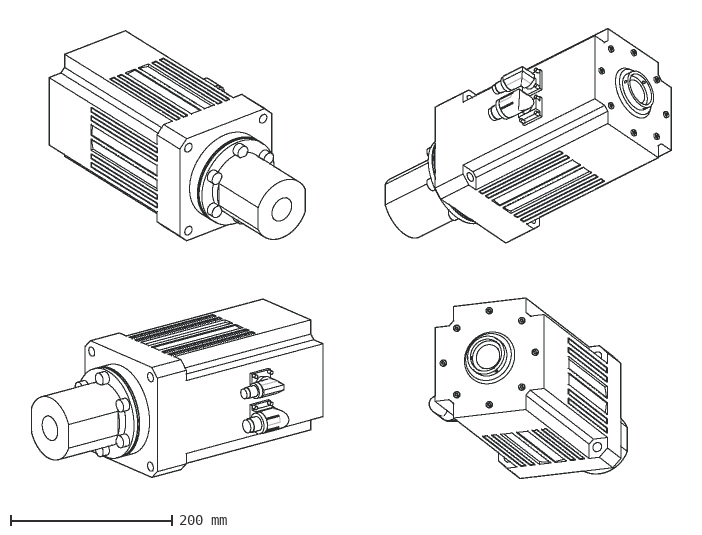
import cadquery as cq
import math

MOUNT_ANGLE = 18.0

SIDE = 145.0
HALF = SIDE / 2
BODY_LENGTH = 261.5
FLANGE_REAR = 215.5
NOTCH = 24.5
NOTCH_FILL = 6.0
FLANGE_CHAMFER = 11.0
FLANGE_HOLE_RADIUS = 6.0
FLANGE_HOLE_INSET = 13.5

SLOTTED_SIDE_ANGLES = (0, 90, 180)
SLOT_START = 83.5
SLOT_GAP = 6.0
NARROW_SLOT = 6.2
NARROW_SLOT_PAIR = 2
WIDE_SLOT = 15.0
NARROW_SLOT_DEPTH = 1.0
WIDE_SLOT_FLOOR_RADIUS = 71.2
WIDE_SLOT_MAX_DEPTH = 7.8

PILOT_RADIUS = 57.2
PILOT_END = 286.0
PILOT_GROOVE_START = 277.0
PILOT_GROOVE_WIDTH = 2.7
PILOT_GROOVE_DEPTH = 0.8
NOSE_RADIUS = 40.5
NOSE_FLAT_DISTANCE = 37.5
NOSE_END = 373.5
NOSE_BOLT_COUNT = 6
NOSE_BOLT_CIRCLE = 47.0
NOSE_BOLT_START_ANGLE = 30
NOSE_BOLT_RADIUS = 7.8
NOSE_BOLT_HEIGHT = 9.7
NECK_END = PILOT_END + NOSE_BOLT_HEIGHT

BOSS_BASE_RADIUS = 33.5
BOSS_TOP_RADIUS = 30.5
BOSS_HEIGHT = 4.0
COLLAR_RADIUS = 24.5
COLLAR_HEIGHT = 12.5
COLLAR_BORE_RADIUS = 20.5
COLLAR_BORE_DEPTH = 7.0
BORE_RADIUS = 15.5
SET_SCREW_COUNT = 3
SET_SCREW_RADIUS = 1.75
SET_SCREW_START_ANGLE = 30
SET_SCREW_FROM_END = 4.0
COVER_SCREW_COUNT = 8
COVER_SCREW_CIRCLE = 61.0
COVER_SCREW_RADIUS = 4.0
COVER_SCREW_HEIGHT = 2.5
SOCKET_WIDTH = 3.5
SOCKET_DEPTH = 1.5

CONNECTOR_X = 101.0
CONNECTOR_Z = 20.5
FOOT_SIZE = 28.8
FOOT_HEIGHT = 4.0
FOOT_SCREW_OFFSET = 12.0
FOOT_SCREW_RADIUS = 2.15
FOOT_SCREW_HEIGHT = 6.0
STEM_WIDTH = 16.5
ELBOW_BASE = 11.5
BARREL_END = 120.5
CAP_END = 126.0
CAP_STEP = 0.5
GLAND_TIP_START = 137.8
GLAND_END = 143.0
GLAND_TIP_STEP = 0.8
GRIP_ANGLE = 36
GRIP_WIDTH = 1.5
GRIP_DEPTH = 1.0

SIGNAL_RADIUS = 10.0
SIGNAL_AXIS_HEIGHT = 22.5
SIGNAL_GLAND_RADIUS = 7.0
SIGNAL_RIDGE_WIDTH = 6.5
SIGNAL_RIDGE_DISTANCE = 12.0
POWER_RADIUS = 13.5
POWER_AXIS_HEIGHT = 28.5
POWER_GLAND_RADIUS = 9.0

EMBED = 0.8


def disc(x_start, x_end, radius, y=0, z=0):
    """Cylinder along X between two stations."""
    return cq.Workplane("YZ", origin=(x_start, y, z)).circle(radius).extrude(x_end - x_start)


def ring_points(count, radius, start_angle=0):
    """Evenly spaced (y, z) points on a circle about the axis."""
    angles = [math.radians(start_angle + 360 * i / count) for i in range(count)]
    return [(radius * math.cos(a), radius * math.sin(a)) for a in angles]


def housing():
    """Square bar with notched edges behind a chamfered flange with four through holes."""
    bar = cq.Workplane("YZ").rect(SIDE, SIDE).extrude(BODY_LENGTH)
    body = bar.edges("|X").chamfer(FLANGE_CHAMFER)
    inner = HALF - NOTCH
    notch = (
        cq.Workplane("YZ")
        .moveTo(inner, HALF)
        .lineTo(inner, inner + NOTCH_FILL)
        .lineTo(inner + NOTCH_FILL, inner)
        .lineTo(HALF, inner)
        .lineTo(HALF, HALF)
        .close()
        .extrude(FLANGE_REAR)
    )
    for quarter in range(4):
        body = body.cut(notch.rotate((0, 0, 0), (1, 0, 0), 90 * quarter))
    hole_offset = HALF - FLANGE_HOLE_INSET
    holes = (
        cq.Workplane("YZ", origin=(FLANGE_REAR, 0, 0))
        .rect(2 * hole_offset, 2 * hole_offset, forConstruction=True)
        .vertices()
        .circle(FLANGE_HOLE_RADIUS)
        .extrude(BODY_LENGTH - FLANGE_REAR)
    )
    return body.cut(holes)


def slot_box(y_start, width, depth):
    """Slot block at the top side, starting at y_start."""
    corner = (SLOT_START, y_start, HALF - depth)
    size = (FLANGE_REAR - SLOT_START, width, depth)
    return cq.Workplane("XY", origin=corner).box(*size, centered=False)


def cooling_slots():
    """Slots of one side: two wide ones with a floor round the axis, four narrow flat ones."""
    core = disc(SLOT_START, FLANGE_REAR, WIDE_SLOT_FLOOR_RADIUS)
    wide_start = SLOT_GAP / 2
    narrow_start = wide_start + WIDE_SLOT + SLOT_GAP
    slots = slot_box(wide_start, WIDE_SLOT, WIDE_SLOT_MAX_DEPTH).cut(core)
    for i in range(NARROW_SLOT_PAIR):
        y_start = narrow_start + i * (NARROW_SLOT + SLOT_GAP)
        slots = slots.add(slot_box(y_start, NARROW_SLOT, NARROW_SLOT_DEPTH))
    return slots.add(slots.mirror("XZ"))


def front_end():
    """Grooved pilot, ring of bolt heads, round neck and a nose with two side flats."""
    pilot = disc(BODY_LENGTH, PILOT_END, PILOT_RADIUS)
    groove_end = PILOT_GROOVE_START + PILOT_GROOVE_WIDTH
    groove = disc(PILOT_GROOVE_START, groove_end, PILOT_RADIUS).cut(
        disc(PILOT_GROOVE_START, groove_end, PILOT_RADIUS - PILOT_GROOVE_DEPTH)
    )
    neck = disc(PILOT_END, NECK_END, NOSE_RADIUS)
    flats = cq.Workplane("YZ").rect(2 * NOSE_FLAT_DISTANCE, 2 * NOSE_RADIUS).extrude(NOSE_END)
    nose = disc(NECK_END, NOSE_END, NOSE_RADIUS).intersect(flats)
    front = pilot.cut(groove).union(neck).union(nose)
    for y, z in ring_points(NOSE_BOLT_COUNT, NOSE_BOLT_CIRCLE, NOSE_BOLT_START_ANGLE):
        front = front.union(disc(PILOT_END - EMBED, NECK_END, NOSE_BOLT_RADIUS, y, z))
    return front


def rear_end():
    """Tapered boss, collar with radial set-screw holes and the ring of cover screws."""
    boss = (
        cq.Workplane("XY")
        .polyline([(0, 0), (0, BOSS_BASE_RADIUS), (-BOSS_HEIGHT, BOSS_TOP_RADIUS), (-BOSS_HEIGHT, 0)])
        .close()
        .revolve(360, (0, 0, 0), (1, 0, 0))
    )
    collar = disc(-COLLAR_HEIGHT, 0, COLLAR_RADIUS)
    collar_bore = disc(-COLLAR_HEIGHT, COLLAR_BORE_DEPTH - COLLAR_HEIGHT, COLLAR_BORE_RADIUS)
    rear = boss.union(collar).cut(collar_bore)
    set_screw_hole = (
        cq.Workplane("XY", origin=(SET_SCREW_FROM_END - COLLAR_HEIGHT, 0, 0))
        .circle(SET_SCREW_RADIUS)
        .extrude(COLLAR_RADIUS + EMBED)
    )
    for i in range(SET_SCREW_COUNT):
        angle = SET_SCREW_START_ANGLE + 360 * i / SET_SCREW_COUNT
        rear = rear.cut(set_screw_hole.rotate((0, 0, 0), (1, 0, 0), angle))
    for y, z in ring_points(COVER_SCREW_COUNT, COVER_SCREW_CIRCLE):
        head = disc(-COVER_SCREW_HEIGHT, EMBED, COVER_SCREW_RADIUS, y, z)
        socket = (
            cq.Workplane("YZ", origin=(-COVER_SCREW_HEIGHT, y, z))
            .polygon(6, SOCKET_WIDTH)
            .extrude(SOCKET_DEPTH)
        )
        rear = rear.union(head.cut(socket))
    return rear


def upright(height):
    """Workplane parallel to the connector side, at a height above it, centred on the connectors."""
    return cq.Workplane("XZ", origin=(CONNECTOR_X, HALF + height, 0))


def connector_foot():
    plate = upright(-EMBED).rect(FOOT_SIZE, FOOT_SIZE).extrude(-FOOT_HEIGHT - EMBED)
    screws = (
        upright(0)
        .rect(2 * FOOT_SCREW_OFFSET, 2 * FOOT_SCREW_OFFSET, forConstruction=True)
        .vertices()
        .circle(FOOT_SCREW_RADIUS)
        .extrude(-FOOT_HEIGHT - FOOT_SCREW_HEIGHT)
    )
    return plate.union(screws)


def cable_end(radius, axis_height, gland_radius):
    """Stepped cap and cable gland on the free end of a connector barrel."""
    axis_y = HALF + axis_height
    cap = disc(BARREL_END - EMBED, CAP_END, radius - CAP_STEP, axis_y)
    gland = disc(CAP_END - EMBED, GLAND_TIP_START, gland_radius, axis_y)
    tip = disc(GLAND_TIP_START - EMBED, GLAND_END, gland_radius - GLAND_TIP_STEP, axis_y)
    return cap.union(gland).union(tip)


def grip_grooves(radius, axis_height):
    """Two lengthwise grooves in the outer side of a connector barrel."""
    axis_y = HALF + axis_height
    groove = cq.Workplane("XY", origin=(CONNECTOR_X, axis_y + radius - GRIP_DEPTH, -GRIP_WIDTH / 2)).box(
        BARREL_END - CONNECTOR_X, 2 * GRIP_DEPTH, GRIP_WIDTH, centered=False
    )
    axis = ((0, axis_y, 0), (1, axis_y, 0))
    return groove.rotate(*axis, GRIP_ANGLE).add(groove.rotate(*axis, -GRIP_ANGLE))


def signal_connector():
    """Round stem and a mitred elbow whose outer side narrows along tangents to a flat ridge."""
    stem = upright(0).circle(STEM_WIDTH / 2).extrude(-ELBOW_BASE - EMBED)
    half_ridge = SIGNAL_RIDGE_WIDTH / 2
    ridge_reach = math.hypot(SIGNAL_RIDGE_DISTANCE, half_ridge)
    tangent_angle = math.atan2(half_ridge, SIGNAL_RIDGE_DISTANCE) + math.acos(SIGNAL_RADIUS / ridge_reach)
    tangent_x = -SIGNAL_RADIUS * math.cos(tangent_angle)
    tangent_z = SIGNAL_RADIUS * math.sin(tangent_angle)
    profile = (
        upright(ELBOW_BASE)
        .moveTo(tangent_x, tangent_z)
        .threePointArc((SIGNAL_RADIUS, 0), (tangent_x, -tangent_z))
        .lineTo(-SIGNAL_RIDGE_DISTANCE, -half_ridge)
        .lineTo(-SIGNAL_RIDGE_DISTANCE, half_ridge)
        .close()
    )
    axis_y = HALF + SIGNAL_AXIS_HEIGHT
    bend = [(CONNECTOR_X, HALF + ELBOW_BASE), (CONNECTOR_X, axis_y), (BARREL_END, axis_y)]
    elbow = profile.sweep(cq.Workplane("XY").polyline(bend), transition="right")
    ending = cable_end(SIGNAL_RADIUS, SIGNAL_AXIS_HEIGHT, SIGNAL_GLAND_RADIUS)
    return connector_foot().union(stem).union(elbow).union(ending)


def power_connector():
    """Flat-sided stem and a grooved barrel whose closed end is rounded about the stem axis."""
    stem = upright(0).rect(FOOT_SIZE, STEM_WIDTH).extrude(-ELBOW_BASE)
    neck = upright(0).circle(STEM_WIDTH / 2).extrude(-POWER_AXIS_HEIGHT)
    axis_y = HALF + POWER_AXIS_HEIGHT
    closed_end = disc(CONNECTOR_X - POWER_RADIUS, CONNECTOR_X, POWER_RADIUS, axis_y)
    closed_end = closed_end.intersect(upright(0).circle(POWER_RADIUS).extrude(-2 * POWER_AXIS_HEIGHT))
    elbow = closed_end.union(disc(CONNECTOR_X, BARREL_END, POWER_RADIUS, axis_y))
    for groove in grip_grooves(POWER_RADIUS, POWER_AXIS_HEIGHT).vals():
        elbow = elbow.cut(cq.Workplane(groove))
    ending = cable_end(POWER_RADIUS, POWER_AXIS_HEIGHT, POWER_GLAND_RADIUS)
    return connector_foot().union(stem).union(neck).union(elbow).union(ending)


spindle = housing()
side_slots = cooling_slots()
for angle in SLOTTED_SIDE_ANGLES:
    turned = side_slots.rotate((0, 0, 0), (1, 0, 0), angle)
    for slot in turned.vals():
        spindle = spindle.cut(cq.Workplane(slot))
spindle = spindle.union(front_end()).union(rear_end())
spindle = spindle.cut(disc(-COLLAR_HEIGHT, NOSE_END, BORE_RADIUS))
spindle = spindle.union(signal_connector().translate((0, 0, CONNECTOR_Z)))
spindle = spindle.union(power_connector().translate((0, 0, -CONNECTOR_Z)))

result = spindle.rotate((0, 0, 0), (0, 0, 1), MOUNT_ANGLE)